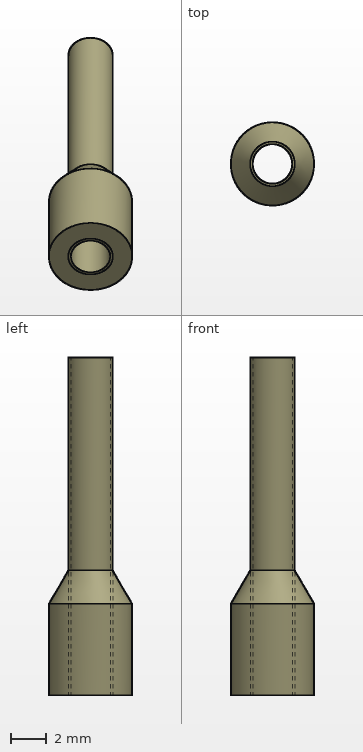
import cadquery as cq

total_length = 19.0

sleeve_diameter = 2.5
sleeve_wall = 0.15

collar_diameter = 4.7
skirt_height = 5.15
collar_height = 7.03

base_z = -total_length / 2
sleeve_radius = sleeve_diameter / 2
collar_radius = collar_diameter / 2


def make_sleeve():
    """Open tube running the full length of the ferrule."""
    return (
        cq.Workplane("XY", origin=(0, 0, base_z))
        .circle(sleeve_radius)
        .circle(sleeve_radius - sleeve_wall)
        .extrude(total_length)
    )


def make_collar():
    """Revolved collar whose bore fits the sleeve and whose shoulder tapers down to it."""
    return (
        cq.Workplane("XZ")
        .moveTo(sleeve_radius, base_z)
        .lineTo(collar_radius, base_z)
        .lineTo(collar_radius, base_z + skirt_height)
        .lineTo(sleeve_radius, base_z + collar_height)
        .close()
        .revolve(360, (0, 0, 0), (0, 1, 0))
    )


sleeve = make_sleeve()
collar = make_collar()
result = cq.Compound.makeCompound([sleeve.val(), collar.val()])